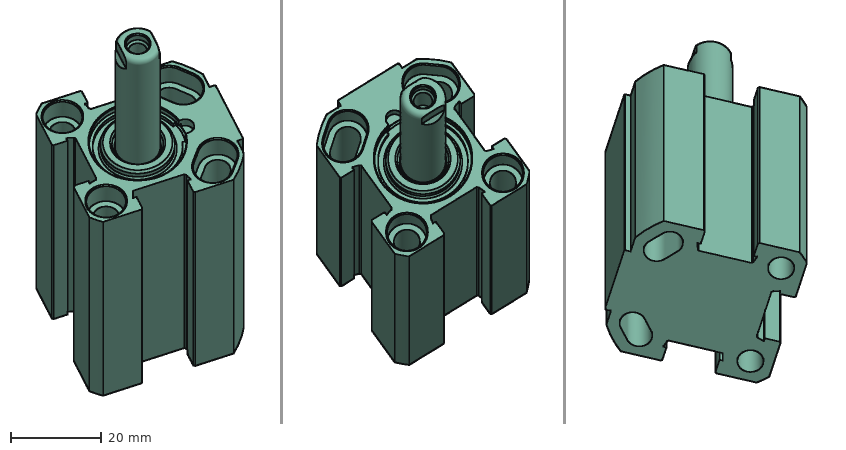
import cadquery as cq
import math

TOTAL_HEIGHT = 98.5
HOUSING_HEIGHT = 63.0

SECTION_WIDTH = 36.0
SECTION_LENGTH = 40.0
SHOULDER_Y = 20.6
RIB_HALF_WIDTH = 8.2
RIB_CHAMFER = 0.2
CORNER_RADIUS = 23.8

SLOT_MOUTH_HALF = 6.1
SLOT_LIP_HALF = 6.9
SLOT_FLOOR_HALF = 6.4
SLOT_LIP = 14.3
SLOT_FLOOR = 12.4
SLOT_CHAMFER = 0.3

MOUNT_OFFSET = 12.8
MOUNT_HOLE_DIA = 5.8
COUNTERBORE_DIA = 8.8
COUNTERBORE_DEPTH = 5.7
COUNTERBORE_CHAMFER = 0.3
CHAMFER_TAPER = -45.0
OBLONG_X = 10.0
OBLONG_Y = 15.1

BORE_DIA = 21.6
BORE_CHAMFER = 0.2
RING_OUTER_DIA = 22.8
RING_INNER_DIA = 20.0
RING_THICKNESS = 1.0
RING_DEPTH = 1.6
RING_GAP_ANGLE = 32.0
NOTCH_DIA = 3.9
NOTCH_Y = 11.4
NOTCH_DEPTH = 2.4

COVER_HEIGHT = 9.85
BOSS_DIA = 16.5
BOSS_FOOT_DIA = 17.4
BOSS_TOP_DIA = 15.5
BOSS_DEPTH = 0.4
COVER_BORE_DIA = 11.4
COVER_MOUTH_DIA = 12.3

SEAL_DEPTH = 0.6
SEAL_FUNNEL_DEPTH = 1.0
SEAL_HEIGHT = 3.0
SEAL_LIP_DIA = 10.4

ROD_DIA = 10.0
ROD_EDGE_RADIUS = 1.3
FLATS_WIDTH = 8.0
FLATS_HEIGHT = 3.5
RECESS_DIA = 5.2
RECESS_MOUTH_DIA = 5.8
RECESS_DEPTH = 2.0
DRILL_DIA = 4.1
DRILL_DEPTH = 9.85
DRILL_POINT_ANGLE = 118.0

half_width = SECTION_WIDTH / 2
rib_y = SECTION_LENGTH - half_width
ring_top = HOUSING_HEIGHT - RING_DEPTH
flange_top = ring_top - RING_THICKNESS
cover_bottom = flange_top - COVER_HEIGHT
boss_top = HOUSING_HEIGHT - BOSS_DEPTH
seal_top = boss_top - SEAL_DEPTH
seal_bottom = seal_top - SEAL_HEIGHT


def cylinder(diameter, bottom, top):
    return cq.Workplane("XY").workplane(offset=bottom).circle(diameter / 2).extrude(top - bottom)


def turned(points):
    """Solid of revolution about the Z axis from (radius, height) points."""
    return cq.Workplane("XZ").polyline(points).close().revolve(360, (0, 0, 0), (0, 1, 0))


def slot_cutter(turn):
    """Undercut slot that opens to +X, turned about the rod axis."""
    outside = half_width + 1
    upper = [
        (outside, SLOT_MOUTH_HALF + SLOT_CHAMFER),
        (half_width, SLOT_MOUTH_HALF + SLOT_CHAMFER),
        (half_width - SLOT_CHAMFER, SLOT_MOUTH_HALF),
        (SLOT_LIP, SLOT_MOUTH_HALF),
        (SLOT_LIP, SLOT_LIP_HALF),
        (SLOT_FLOOR + SLOT_CHAMFER, SLOT_FLOOR_HALF),
        (SLOT_FLOOR, SLOT_FLOOR_HALF - SLOT_CHAMFER),
    ]
    lower = [(x, -y) for x, y in reversed(upper)]
    cutter = cq.Workplane("XY").polyline(upper + lower).close().extrude(HOUSING_HEIGHT)
    return cutter.rotate((0, 0, 0), (0, 0, 1), turn)


def housing_block():
    length = half_width + SHOULDER_Y
    body = cq.Workplane("XY").box(SECTION_WIDTH, length, HOUSING_HEIGHT, centered=(True, False, False))
    body = body.translate((0, -half_width, 0)).intersect(cylinder(2 * CORNER_RADIUS, 0, HOUSING_HEIGHT))
    rib = cq.Workplane("XY").box(2 * RIB_HALF_WIDTH, rib_y, HOUSING_HEIGHT, centered=(True, False, False))
    return body.union(rib.edges("|Z and >Y").chamfer(RIB_CHAMFER))


def mounting_cutter(diameter, side, is_oblong, bottom, taper=0):
    """Round or oblong cutter for one corner, with this diameter at its bottom, up to the housing top."""
    height = HOUSING_HEIGHT - bottom
    plane = cq.Workplane("XY").workplane(offset=bottom)
    if not is_oblong:
        outline = plane.center(side * MOUNT_OFFSET, -MOUNT_OFFSET).circle(diameter / 2)
        return outline.extrude(height, taper=taper)
    run_x = MOUNT_OFFSET - OBLONG_X
    run_y = OBLONG_Y - MOUNT_OFFSET
    middle = (side * (MOUNT_OFFSET + OBLONG_X) / 2, (MOUNT_OFFSET + OBLONG_Y) / 2)
    length = math.hypot(run_x, run_y) + diameter
    angle = -side * math.degrees(math.atan2(run_y, run_x))
    return plane.center(*middle).slot2D(length, diameter, angle).extrude(height, taper=taper)


def make_housing():
    body = housing_block()
    for turn in (0, 180, 270):
        body = body.cut(slot_cutter(turn))
    for side in (-1, 1):
        for is_oblong in (False, True):
            counterbore_floor = HOUSING_HEIGHT - COUNTERBORE_DEPTH
            counterbore = mounting_cutter(COUNTERBORE_DIA, side, is_oblong, counterbore_floor)
            mouth_floor = HOUSING_HEIGHT - COUNTERBORE_CHAMFER
            mouth = mounting_cutter(COUNTERBORE_DIA, side, is_oblong, mouth_floor, CHAMFER_TAPER)
            body = body.cut(mounting_cutter(MOUNT_HOLE_DIA, side, is_oblong, 0))
            body = body.cut(counterbore).cut(mouth)
    bore_radius = BORE_DIA / 2
    groove_radius = RING_OUTER_DIA / 2
    bore = turned([
        (0, cover_bottom),
        (bore_radius, cover_bottom),
        (bore_radius, flange_top),
        (groove_radius, flange_top),
        (groove_radius, ring_top),
        (bore_radius, ring_top),
        (bore_radius, HOUSING_HEIGHT - BORE_CHAMFER),
        (bore_radius + BORE_CHAMFER, HOUSING_HEIGHT),
        (0, HOUSING_HEIGHT),
    ])
    notch_floor = HOUSING_HEIGHT - NOTCH_DEPTH
    notch = cylinder(NOTCH_DIA, notch_floor, HOUSING_HEIGHT).translate((0, NOTCH_Y, 0))
    notch_run = cq.Workplane("XY").box(NOTCH_DIA, NOTCH_Y, NOTCH_DEPTH, centered=(True, False, False))
    return body.cut(bore).cut(notch).cut(notch_run.translate((0, 0, notch_floor)))


def make_snap_ring():
    ring = cylinder(RING_OUTER_DIA, flange_top, ring_top)
    ring = ring.cut(cylinder(RING_INNER_DIA, flange_top, ring_top))
    reach = RING_OUTER_DIA
    half_gap = reach * math.tan(math.radians(RING_GAP_ANGLE / 2))
    gap = cq.Workplane("XY").workplane(offset=flange_top)
    gap = gap.polyline([(0, 0), (half_gap, reach), (-half_gap, reach)]).close().extrude(RING_THICKNESS)
    return ring.cut(gap)


def make_rod_cover():
    rod_radius = ROD_DIA / 2
    bore_radius = COVER_BORE_DIA / 2
    mouth_radius = COVER_MOUTH_DIA / 2
    boss_radius = BOSS_DIA / 2
    foot_run = (BOSS_FOOT_DIA - BOSS_DIA) / 2
    top_run = (BOSS_DIA - BOSS_TOP_DIA) / 2
    return turned([
        (rod_radius, cover_bottom),
        (BORE_DIA / 2, cover_bottom),
        (BORE_DIA / 2, flange_top),
        (boss_radius + foot_run, flange_top),
        (boss_radius, flange_top + foot_run),
        (boss_radius, boss_top - top_run),
        (boss_radius - top_run, boss_top),
        (mouth_radius, boss_top),
        (bore_radius, boss_top - (mouth_radius - bore_radius)),
        (bore_radius, seal_bottom),
        (rod_radius, seal_bottom),
    ])


def make_seal():
    rod_radius = ROD_DIA / 2
    outer_radius = COVER_BORE_DIA / 2
    lip_radius = SEAL_LIP_DIA / 2
    return turned([
        (rod_radius, seal_bottom),
        (outer_radius, seal_bottom),
        (outer_radius, seal_top),
        (lip_radius, seal_top - SEAL_FUNNEL_DEPTH),
        (rod_radius, seal_top - SEAL_FUNNEL_DEPTH),
    ])


def make_rod():
    rod = cylinder(ROD_DIA, cover_bottom, TOTAL_HEIGHT)
    rod = rod.faces(">Z").edges().fillet(ROD_EDGE_RADIUS)

    flat_y = FLATS_WIDTH / 2
    outside = ROD_DIA
    flat_bottom = TOTAL_HEIGHT - FLATS_HEIGHT
    flat = cq.Workplane("YZ").polyline([
        (flat_y, TOTAL_HEIGHT),
        (flat_y, flat_bottom),
        (outside, flat_bottom - (outside - flat_y)),
        (outside, TOTAL_HEIGHT),
    ]).close().extrude(ROD_DIA / 2, both=True)
    rod = rod.cut(flat).cut(flat.mirror("XZ"))

    recess_radius = RECESS_DIA / 2
    mouth_radius = RECESS_MOUTH_DIA / 2
    drill_radius = DRILL_DIA / 2
    point_height = drill_radius / math.tan(math.radians(DRILL_POINT_ANGLE / 2))
    recess_bottom = TOTAL_HEIGHT - RECESS_DEPTH
    drill_bottom = TOTAL_HEIGHT - DRILL_DEPTH
    return rod.cut(turned([
        (0, drill_bottom - point_height),
        (drill_radius, drill_bottom),
        (drill_radius, recess_bottom - (recess_radius - drill_radius)),
        (recess_radius, recess_bottom),
        (recess_radius, TOTAL_HEIGHT - (mouth_radius - recess_radius)),
        (mouth_radius, TOTAL_HEIGHT),
        (0, TOTAL_HEIGHT),
    ]))


housing = make_housing()
snap_ring = make_snap_ring()
rod_cover = make_rod_cover()
seal = make_seal()
rod = make_rod()

result = cq.Compound.makeCompound([
    housing.val(),
    snap_ring.val(),
    rod_cover.val(),
    seal.val(),
    rod.val(),
])